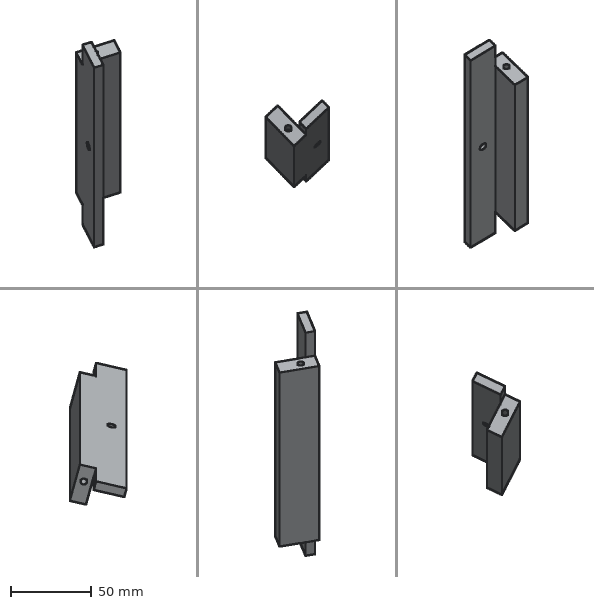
import cadquery as cq

length = 180.0
width = 30.0
depth = 25.5

block_width = 10.5
block_length = 140.4
plate_thickness = 6.1
plate_width = width - block_width

plate_hole_diameter = 5.0
plate_hole_x = block_width + plate_width / 2
end_hole_diameter = 4.0
end_hole_depth = 14.4
end_hole_x = block_width / 2
end_hole_y = 10.6


def upright_box(x_start, x_size, y_size, z_size):
    """Box with its front face on Y = 0, centred on Z = 0."""
    box = cq.Workplane("XY").box(x_size, y_size, z_size, centered=(False, False, True))
    return box.translate((x_start, 0, 0))


def end_hole(side):
    """Blind hole drilled inward from the upper (+1) or lower (-1) end of the block."""
    start = cq.Vector(end_hole_x, end_hole_y, side * block_length / 2)
    inward = cq.Vector(0, 0, -side)
    return cq.Solid.makeCylinder(end_hole_diameter / 2, end_hole_depth, start, inward)


block = upright_box(0, block_width, depth, block_length)
plate = upright_box(block_width, plate_width, plate_thickness, length)
body = block.union(plate)

plate_hole = cq.Solid.makeCylinder(
    plate_hole_diameter / 2,
    plate_thickness,
    cq.Vector(plate_hole_x, 0, 0),
    cq.Vector(0, 1, 0),
)
body = body.cut(cq.Workplane(plate_hole))

for end_side in (1, -1):
    body = body.cut(cq.Workplane(end_hole(end_side)))

result = body